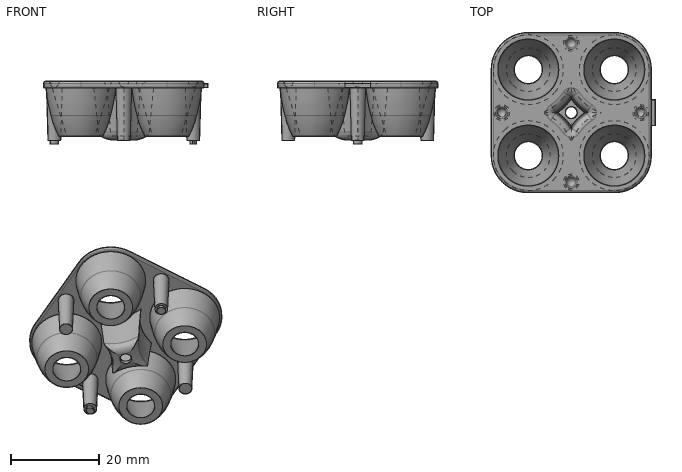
import cadquery as cq

plate_width = 36.3
plate_depth = 1.6
plate_top_fillet = 0.55
plate_bottom_fillet = 0.25
overall_length = 37.2
overall_height = 14.3

tab_width = 5.88
tab_top = 0.6
tab_depth = 0.85

cup_offset = 9.75
cup_rim_radius = 7.92
cup_upper_mid_radius = 7.48
cup_upper_mid_depth = 4.65
cup_waist_radius = 6.77
cup_waist_depth = 7.77
cup_lower_mid_radius = 6.1
cup_lower_mid_depth = 10.05
cup_base_radius = 4.95
cup_base_depth = 12.55
bore_mouth_radius = 6.92
bore_lip_radius = 6.8
bore_lip_depth = 0.52
bore_exit_radius = 3.15

leg_offset = 15.75
leg_top_radius = 1.8
leg_foot_radius = 1.45
leg_foot_depth = 13.45
dimple_radius = 1.05
dimple_fillet = 0.3

pin_height = overall_height - leg_foot_depth
round_pin_radius = 0.95
diamond_pin_width = 1.55
diamond_pin_land = 0.3

pocket_flare = 1.95
pocket_corner_radius = 0.2
pocket_wall_radius = 11.3
pocket_floor_wall_radius = 11.8
pocket_floor_depth = 12.42
pocket_drain_radius = 1.3
shell_top_radius = 10.15
shell_bottom_radius = 10.53
shell_bottom_depth = 13.4
shell_bottom_fillet = 1.85

plate_half = plate_width / 2
corner_radius = plate_half - cup_offset
grid_spacing = 2 * cup_offset
pocket_mouth_limit = cup_offset / 2
cup_points = [(sx * cup_offset, sy * cup_offset) for sx in (-1, 1) for sy in (-1, 1)]
leg_points = [(leg_offset, 0), (0, leg_offset), (-leg_offset, 0), (0, -leg_offset)]


def spin(profile):
    """Close an XZ profile and revolve it about the Z axis."""
    return profile.close().revolve(360, (0, 0, 0), (0, 1, 0))


def placed(shape, points):
    """Union of copies of a shape, one at each XY point."""
    copies = cq.Workplane("XY")
    for x, y in points:
        copies = copies.union(shape.translate((x, y, 0)))
    return copies


def make_plate():
    plate = cq.Workplane("XY").rect(plate_width, plate_width).extrude(-plate_depth)
    plate = plate.edges("|Z").fillet(corner_radius)
    plate = plate.faces(">Z").edges().fillet(plate_top_fillet)
    return plate.faces("<Z").edges().fillet(plate_bottom_fillet)


def make_tab():
    """Tab bar, rooted inside the plate so that it joins the rim."""
    tab_length = overall_length - plate_half - cup_offset
    return (
        cq.Workplane("XY", origin=(cup_offset + tab_length / 2, 0, -tab_top))
        .rect(tab_length, tab_width)
        .extrude(-tab_depth)
    )


def make_cup_body():
    return spin(
        cq.Workplane("XZ")
        .moveTo(0, -plate_top_fillet)
        .lineTo(cup_rim_radius, -plate_top_fillet)
        .lineTo(cup_rim_radius, -plate_depth)
        .threePointArc((cup_upper_mid_radius, -cup_upper_mid_depth), (cup_waist_radius, -cup_waist_depth))
        .threePointArc((cup_lower_mid_radius, -cup_lower_mid_depth), (cup_base_radius, -cup_base_depth))
        .lineTo(0, -cup_base_depth)
    )


def make_cup_bore():
    return spin(
        cq.Workplane("XZ")
        .lineTo(bore_mouth_radius, 0)
        .lineTo(bore_lip_radius, -bore_lip_depth)
        .lineTo(bore_exit_radius, -cup_base_depth)
        .lineTo(0, -cup_base_depth)
    )


def make_leg():
    return spin(
        cq.Workplane("XZ")
        .moveTo(0, -plate_top_fillet)
        .lineTo(leg_top_radius, -plate_top_fillet)
        .lineTo(leg_top_radius, -plate_depth)
        .lineTo(leg_foot_radius, -leg_foot_depth)
        .lineTo(0, -leg_foot_depth)
    )


def make_dimple():
    """Round-bottomed dimple with a rounded mouth."""
    return spin(
        cq.Workplane("XZ")
        .lineTo(dimple_radius + dimple_fillet, 0)
        .radiusArc((dimple_radius, -dimple_fillet), -dimple_fillet)
        .radiusArc((0, -dimple_fillet - dimple_radius), dimple_radius)
    )


def make_pins():
    """Round pin at -X and a relieved pin, narrow along X, at +X."""
    foot = cq.Workplane("XY", origin=(0, 0, -leg_foot_depth))
    round_pin = foot.center(-leg_offset, 0).circle(round_pin_radius).extrude(-pin_height)
    diamond_pin = (
        foot.center(leg_offset, 0)
        .moveTo(-diamond_pin_land / 2, -round_pin_radius)
        .lineTo(diamond_pin_land / 2, -round_pin_radius)
        .threePointArc((diamond_pin_width / 2, 0), (diamond_pin_land / 2, round_pin_radius))
        .lineTo(-diamond_pin_land / 2, round_pin_radius)
        .threePointArc((-diamond_pin_width / 2, 0), (-diamond_pin_land / 2, -round_pin_radius))
        .close()
        .extrude(-pin_height)
    )
    return round_pin.union(diamond_pin)


def concave_column(top_depth, bottom_depth, cutter):
    """Square column with its corners on the cup axes, hollowed around each axis."""
    column = (
        cq.Workplane("XY", origin=(0, 0, -top_depth))
        .rect(grid_spacing, grid_spacing)
        .extrude(top_depth - bottom_depth)
    )
    return column.cut(placed(cutter, cup_points))


def make_pocket_shell():
    fillet_start = shell_bottom_depth - shell_bottom_fillet
    cutter = spin(
        cq.Workplane("XZ")
        .moveTo(0, -plate_top_fillet)
        .lineTo(shell_top_radius, -plate_top_fillet)
        .lineTo(shell_bottom_radius, -fillet_start)
        .radiusArc((shell_bottom_radius + shell_bottom_fillet, -shell_bottom_depth), -shell_bottom_fillet)
        .lineTo(0, -shell_bottom_depth)
    )
    return concave_column(plate_top_fillet, shell_bottom_depth, cutter)


def make_pocket_well():
    cutter = spin(
        cq.Workplane("XZ")
        .lineTo(pocket_wall_radius, 0)
        .lineTo(pocket_floor_wall_radius, -pocket_floor_depth)
        .lineTo(0, -pocket_floor_depth)
    )
    well = concave_column(0, pocket_floor_depth, cutter)
    half_depth = pocket_floor_depth / 2
    mid_band = cq.selectors.BoxSelector(
        (-cup_offset, -cup_offset, -half_depth - plate_depth),
        (cup_offset, cup_offset, -half_depth + plate_depth),
    )
    return well.edges(mid_band).fillet(pocket_corner_radius)


def round_pocket_mouth(part):
    """Fillet the pocket edges on the top face, which all lie between the cups."""
    mouth_box = cq.selectors.BoxSelector(
        (-pocket_mouth_limit, -pocket_mouth_limit, -plate_depth),
        (pocket_mouth_limit, pocket_mouth_limit, plate_depth),
    )
    return part.faces(">Z").edges(mouth_box).fillet(pocket_flare)


body = make_plate().union(make_tab())
body = body.union(placed(make_cup_body(), cup_points))
body = body.union(make_pocket_shell())
body = body.union(placed(make_leg(), leg_points))
body = body.union(make_pins())

body = body.cut(placed(make_cup_bore(), cup_points))
body = body.cut(placed(make_dimple(), leg_points))
body = body.cut(make_pocket_well())
body = round_pocket_mouth(body)
drain = cq.Workplane("XY").circle(pocket_drain_radius).extrude(-shell_bottom_depth)
result = body.cut(drain)